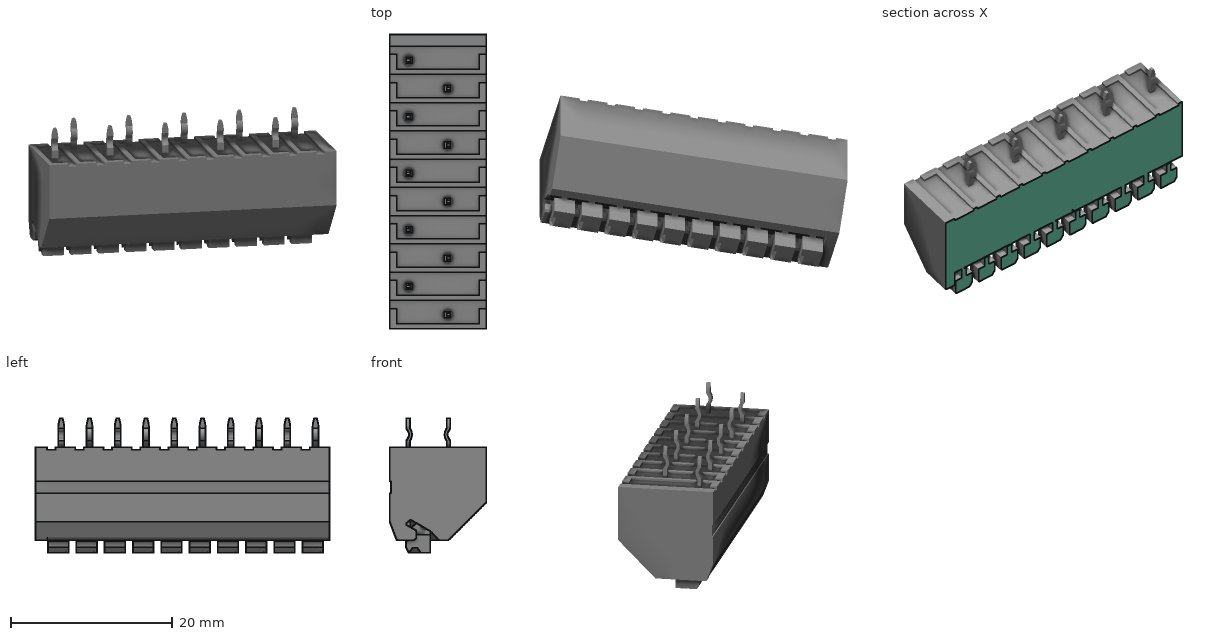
import cadquery as cq

module_count = 10
module_pitch = 3.5
total_length = 36.5
modules_length = module_count * module_pitch
end_plate_thickness = total_length - modules_length

body_width = 12.0
body_height = 11.57
left_bevel_width = 0.88
left_bevel_height = 2.3
right_bevel = 4.7
left_foot_radius = 0.5

side_groove_bottom = 5.85
side_groove_top = 7.3
side_groove_depth = 0.15

recess_depth = 0.33
recess_front_wall = 0.62
recess_side_wall = 0.9
recess_slot_width = 1.02

channel_left = 3.3
channel_right = 6.15
hook_tip_x = 2.08
hook_tip_bottom = 1.9
hook_tip_top = 2.1
hook_peak_x = 2.6
hook_peak_z = 2.55
floor_corner_z = 1.25
roof_foot_z = 1.13
channel_foot_chamfer = 0.25
floor_corner_radius = 0.22

button_width = 2.6
button_back_gap = 0.1
button_left = 2.0
button_right = 5.07
button_drop = 1.57
button_step_z = 0.7
button_bevel_width = 0.35
button_bevel_height = 0.73
button_shoulder_width = 0.33
button_shoulder_drop = 0.1
arm_width = 0.73
arm_end_low_x = 2.7
arm_end_high_x = 3.32

notch_center_x = 3.15
notch_mouth_width = 1.55
notch_roof_width = 0.6
notch_height = 0.62
notch_depth = 0.45

left_row_x = 2.3
right_row_x = 7.3
pin_thickness = 0.47
pin_width = 0.75
pin_tip_width = 0.33
pin_length = 3.58
pin_taper_length = 1.05
pin_taper_middle_width = 0.62
pin_root = 0.35
bend_center_height = 1.55
bend_half_height = 0.75
bend_hollow_half_height = 0.4
bend_outer_offset = 0.25
bend_inner_offset = 0.33
bend_flank_offset = 0.22

bend_center_z = body_height + bend_center_height
pin_top = body_height + pin_length
recess_floor = body_height - recess_depth
floor_slope = (floor_corner_z - hook_tip_bottom) / (channel_left - hook_tip_x)
roof_slope = (roof_foot_z - hook_peak_z) / (button_right - hook_peak_x)


def floor_z(x):
    """Height of the sloping channel floor at x."""
    return hook_tip_bottom + floor_slope * (x - hook_tip_x)


def roof_z(x):
    """Height of the sloping channel roof at x."""
    return hook_peak_z + roof_slope * (x - hook_peak_x)


def along_y(points, start, length):
    """Extrude a closed XZ outline along +Y from the given start."""
    return cq.Workplane("XZ", origin=(0, start, 0)).polyline(points).close().extrude(-length)


def box(x0, x1, y0, y1, z0, z1):
    """Box between two opposite corners."""
    return cq.Workplane("XY").box(x1 - x0, y1 - y0, z1 - z0, centered=False).translate((x0, y0, z0))


def housing_length(start, length):
    """Stretch of the housing with its groove and bevels."""
    return along_y(
        [
            (left_bevel_width, 0),
            (body_width - right_bevel, 0),
            (body_width, right_bevel),
            (body_width, body_height),
            (0, body_height),
            (0, side_groove_top),
            (side_groove_depth, side_groove_top),
            (side_groove_depth, side_groove_bottom),
            (0, side_groove_bottom),
            (0, left_bevel_height),
        ],
        start,
        length,
    )


def channel():
    """Channel right of the hook peak, open at the front and stopped by the end plate."""
    return along_y(
        [
            (channel_left, 0),
            (channel_left, floor_corner_z),
            (hook_peak_x, floor_z(hook_peak_x)),
            (hook_peak_x, hook_peak_z),
            (button_right, roof_z(button_right)),
            (channel_right, 0),
        ],
        0,
        modules_length,
    )


def hook_tip(start, depth):
    """Pointed left end of the hook, only as deep as the space ahead of the button."""
    return along_y(
        [
            (hook_tip_x, hook_tip_bottom),
            (hook_tip_x, hook_tip_top),
            (hook_peak_x, hook_peak_z),
            (hook_peak_x, floor_z(hook_peak_x)),
        ],
        start,
        depth,
    )


def top_recess(start):
    """Wide recess whose rear part runs out through both side faces."""
    back = start + module_pitch
    pocket = box(
        recess_side_wall,
        body_width - recess_side_wall,
        start + recess_front_wall,
        back,
        recess_floor,
        body_height,
    )
    slot = box(0, body_width, back - recess_slot_width, back, recess_floor, body_height)
    return pocket.union(slot)


def button(start):
    """Push button with its narrower lever arm reaching up the channel."""
    block = along_y(
        [
            (button_left + button_shoulder_width, 0),
            (button_left, -button_shoulder_drop),
            (button_left, button_bevel_height - button_drop),
            (button_left + button_bevel_width, -button_drop),
            (button_right, -button_drop),
            (button_right, button_step_z),
            (channel_left, button_step_z),
            (channel_left, channel_foot_chamfer),
            (channel_left - channel_foot_chamfer, 0),
        ],
        start,
        button_width,
    )
    arm = along_y(
        [
            (channel_left, button_step_z),
            (channel_left, floor_corner_z),
            (arm_end_low_x, floor_z(arm_end_low_x)),
            (arm_end_high_x, roof_z(arm_end_high_x)),
            (button_right, roof_z(button_right)),
            (button_right, button_step_z),
        ],
        start + (button_width - arm_width) / 2,
        arm_width,
    )
    return block.union(arm).cut(button_notch(start))


def button_notch(start):
    """Trapezoidal notch whose roof slopes down to the button's underside."""
    trapezoid = along_y(
        [
            (notch_center_x - notch_mouth_width / 2, -button_drop),
            (notch_center_x - notch_roof_width / 2, notch_height - button_drop),
            (notch_center_x + notch_roof_width / 2, notch_height - button_drop),
            (notch_center_x + notch_mouth_width / 2, -button_drop),
        ],
        start,
        notch_depth,
    )
    wedge = (
        cq.Workplane("YZ")
        .polyline(
            [
                (start, -button_drop),
                (start, notch_height - button_drop),
                (start + notch_depth, -button_drop),
            ]
        )
        .close()
        .extrude(body_width)
    )
    return trapezoid.intersect(wedge)


def pin(row_x, center_y, bend_side):
    """Flat pin with a rounded-in tip and a bend toward bend_side (+1 is +X, -1 is -X)."""
    inner = row_x - bend_side * pin_thickness / 2
    outer = row_x + bend_side * pin_thickness / 2
    bend_top = bend_center_z + bend_half_height
    bend_bottom = bend_center_z - bend_half_height
    flank_x = inner + bend_side * bend_flank_offset
    root_z = recess_floor - pin_root
    bent_strip = (
        cq.Workplane("XZ", origin=(0, center_y, 0))
        .moveTo(outer, root_z)
        .lineTo(outer, bend_bottom)
        .threePointArc((outer + bend_side * bend_outer_offset, bend_center_z), (outer, bend_top))
        .lineTo(outer, pin_top)
        .lineTo(inner, pin_top)
        .lineTo(inner, bend_top)
        .lineTo(flank_x, bend_center_z + bend_hollow_half_height)
        .threePointArc(
            (inner + bend_side * bend_inner_offset, bend_center_z),
            (flank_x, bend_center_z - bend_hollow_half_height),
        )
        .lineTo(inner, bend_bottom)
        .lineTo(inner, root_z)
        .close()
        .extrude(pin_width / 2, both=True)
    )
    taper_start = pin_top - pin_taper_length
    taper_middle = pin_top - pin_taper_length / 2
    face = (
        cq.Workplane("YZ", origin=(0, center_y, 0))
        .moveTo(-pin_width / 2, root_z)
        .lineTo(pin_width / 2, root_z)
        .lineTo(pin_width / 2, taper_start)
        .threePointArc((pin_taper_middle_width / 2, taper_middle), (pin_tip_width / 2, pin_top))
        .lineTo(-pin_tip_width / 2, pin_top)
        .threePointArc((-pin_taper_middle_width / 2, taper_middle), (-pin_width / 2, taper_start))
        .close()
        .extrude(body_width)
    )
    return bent_strip.intersect(face)


def edge_at(x, z):
    """Selector for the edge running along Y through the given X and Z."""
    return cq.selectors.NearestToPointSelector((x, modules_length / 2, z))


body = housing_length(0, modules_length).cut(channel())
body = body.edges(edge_at(left_bevel_width, 0)).fillet(left_foot_radius)
body = body.edges(edge_at(channel_left, 0)).chamfer(channel_foot_chamfer)
body = body.edges(edge_at(channel_left, floor_corner_z)).fillet(floor_corner_radius)
body = body.union(housing_length(modules_length, end_plate_thickness))

button_offset = module_pitch - button_back_gap - button_width
for index in range(module_count):
    module_start = index * module_pitch
    pin_y = module_start + module_pitch / 2
    body = body.cut(top_recess(module_start))
    body = body.cut(hook_tip(module_start, button_offset))
    body = body.union(button(module_start + button_offset))
    if index % 2 == 0:
        body = body.union(pin(right_row_x, pin_y, -1))
    else:
        body = body.union(pin(left_row_x, pin_y, 1))

result = body